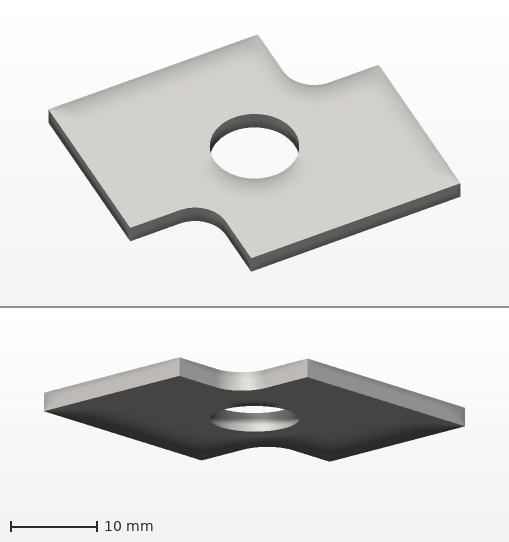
import cadquery as cq

width = 32.0
length = 37.6
thickness = 2.25

hole_diameter = 10.4

notch_width = 10.65
notch_length = 10.4
notch_radius = 4.0


def corner_notch(side):
    """Cutter for the notch at the (-X, +Y) corner (side = 1) or the (+X, -Y) corner (side = -1)."""
    outer_x = -side * width / 2
    outer_y = side * length / 2
    return (
        cq.Workplane("XY")
        .center(outer_x, outer_y)
        .rect(2 * notch_width, 2 * notch_length)
        .extrude(thickness)
        .edges("|Z")
        .fillet(notch_radius)
    )


result = cq.Workplane("XY").rect(width, length).extrude(thickness)

for side in (1, -1):
    result = result.cut(corner_notch(side))

result = result.faces(">Z").workplane(origin=(0, 0, 0)).hole(hole_diameter)